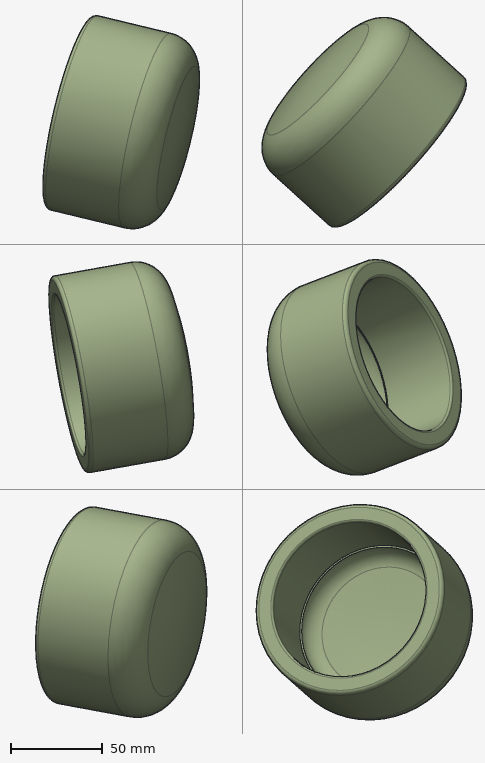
import cadquery as cq
import math

outer_radius = 54.4
length = 65.0
rim_fillet = 2.2
shoulder_start = 43.6
shoulder_radius = 17.7

bore_radius = 44.1
bore_depth = 42.8
mouth_fillet = 1.2
cavity_radius = 43.0
cavity_round_radius = 9.2
cavity_depth = 53.5


def domed_profile(base, side_radius, side_end, corner_radius, apex):
    """Close a half profile with a corner arc and a dome tangent to it and square to the axis."""
    corner_center = side_radius - corner_radius
    rise = apex - side_end
    dome_radius = (corner_center**2 + rise**2 - corner_radius**2) / (2 * (rise - corner_radius))
    dome_center = apex - dome_radius
    tilt = math.atan2(corner_center, side_end - dome_center)

    def corner_point(angle):
        return (side_end + corner_radius * math.cos(angle), corner_center + corner_radius * math.sin(angle))

    def dome_point(angle):
        return (dome_center + dome_radius * math.cos(angle), dome_radius * math.sin(angle))

    return (
        base.threePointArc(corner_point((tilt + math.pi / 2) / 2), corner_point(tilt))
        .threePointArc(dome_point(tilt / 2), (apex, 0))
        .close()
    )


def revolve_about_x(profile):
    return profile.revolve(360, (0, 0, 0), (1, 0, 0))


body_base = cq.Workplane("XY").lineTo(0, outer_radius).lineTo(shoulder_start, outer_radius)
body = revolve_about_x(
    domed_profile(body_base, outer_radius, shoulder_start, shoulder_radius, length)
)
body = body.faces("<X").edges().fillet(rim_fillet)

cavity_base = (
    cq.Workplane("XY")
    .lineTo(0, bore_radius)
    .lineTo(bore_depth, bore_radius)
    .lineTo(bore_depth, cavity_radius)
)
cavity = revolve_about_x(
    domed_profile(cavity_base, cavity_radius, bore_depth, cavity_round_radius, cavity_depth)
)
body = body.cut(cavity)

mouth_edge = cq.selectors.RadiusNthSelector(0)
result = body.faces("<X").edges(mouth_edge).fillet(mouth_fillet)